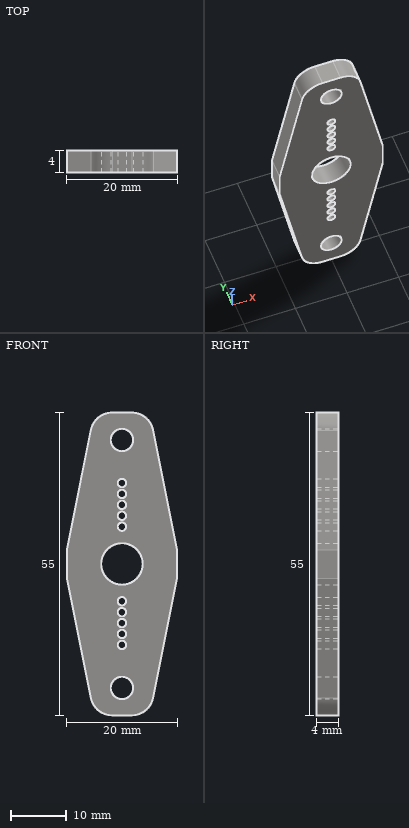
import cadquery as cq

length = 55.0
width = 20.0
thickness = 4.0

side_flat = 5.15
end_width = 10.05
corner_radius = 4.0

centre_hole_diameter = 7.5
end_hole_diameter = 4.0
end_hole_offset = 22.5
small_hole_diameter = 1.5
small_hole_count = 5
small_hole_pitch = 2.0
first_small_hole_offset = 6.75


def back_face_plane():
    """Sketch plane on the +Y face; extrusions run toward -Y."""
    return cq.Workplane("XZ", origin=(0, thickness / 2, 0))


def tapered_plate():
    """Elongated octagon, centred on the origin, with rounded ends."""
    half_length = length / 2
    half_width = width / 2
    half_flat = side_flat / 2
    half_end = end_width / 2
    outline = [
        (half_end, half_length),
        (half_width, half_flat),
        (half_width, -half_flat),
        (half_end, -half_length),
        (-half_end, -half_length),
        (-half_width, -half_flat),
        (-half_width, half_flat),
        (-half_end, half_length),
    ]
    plate = back_face_plane().polyline(outline).close().extrude(thickness)
    return plate.faces("<Z or >Z").edges("|Y").fillet(corner_radius)


def through_holes(diameter, heights):
    """Cylinders along Y that pass through the plate at the given heights."""
    centres = [(0, height) for height in heights]
    return back_face_plane().pushPoints(centres).circle(diameter / 2).extrude(thickness)


small_hole_heights = []
for index in range(small_hole_count):
    offset = first_small_hole_offset + index * small_hole_pitch
    small_hole_heights += [offset, -offset]

result = (
    tapered_plate()
    .cut(through_holes(centre_hole_diameter, [0]))
    .cut(through_holes(end_hole_diameter, [end_hole_offset, -end_hole_offset]))
    .cut(through_holes(small_hole_diameter, small_hole_heights))
)